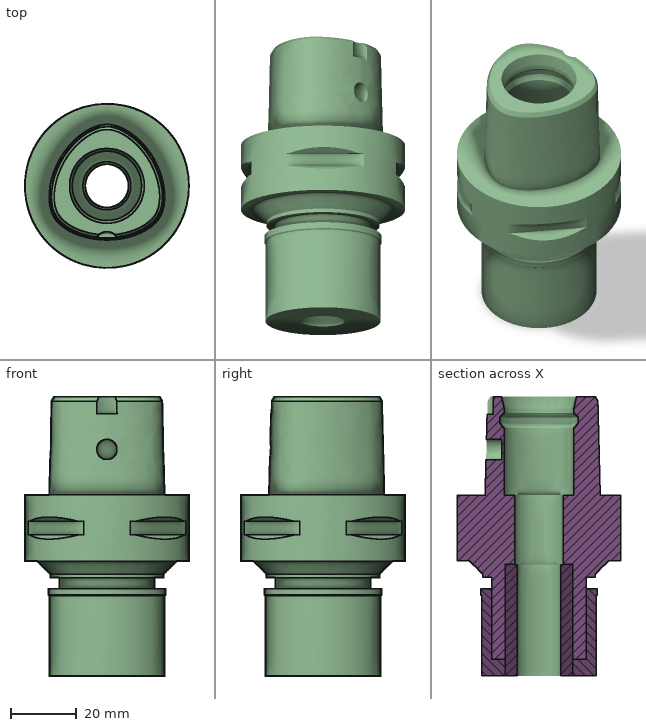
import cadquery as cq
import math

total_height = 85.0

flange_radius = 25.0
flange_bottom = 34.9
flange_top = 55.1
slot_floor_distance = 21.9
slot_floor_height = 4.1
slot_wall_depth = 0.8
slot_flare_angle = 30
slot_overrun = 1.7
slot_count = 4

shank_mean_radius = 17.6
shank_lobe_height = 1.1
shank_taper = 1 / 40
shank_curve_points = 48
rim_chamfer_height = 1.4
rim_chamfer_width = 0.85

notch_radius = 3.6
notch_axis_offset = 17.5
notch_depth = 5.3
side_hole_radius = 3.1
side_hole_z = 68.9
side_hole_floor = 11.5

bore_mouth_radius = 11.4
bore_radius = 10.5
bore_cone_depth = 3.65
groove_start_depth = 5.0
groove_end_depth = 9.5
groove_radius = 11.8
drawbar_hole_radius = 7.3

under_cone_radius = 21.2
collar_radius = 17.25
collar_height = 1.1
neck_radius = 14.5

nut_height = 26.6
nut_radius = 17.5
nut_rim_radius = 17.85
nut_rim_height = 1.9
nut_lip_height = 5.1

collet_radius = 10.2
collet_hole_radius = 6.55
collet_height = 34.0


def revolve(points):
    """Solid of revolution about Z from (radius, height) points."""
    return cq.Workplane("XZ").polyline(points).close().revolve(360, (0, 0, 0), (0, 1, 0))


def shank_section(mean_radius, z):
    """Closed three-lobed curve with one lobe pointing to +Y."""
    points = []
    for i in range(shank_curve_points):
        angle = 2 * math.pi * i / shank_curve_points
        along = mean_radius * math.cos(angle) + shank_lobe_height * (
            2 * math.cos(2 * angle) - math.cos(4 * angle)
        )
        across = mean_radius * math.sin(angle) - shank_lobe_height * (
            2 * math.sin(2 * angle) + math.sin(4 * angle)
        )
        points.append(cq.Vector(-across, along, z))
    return cq.Wire.assembleEdges([cq.Edge.makeSpline(points, periodic=True)])


def make_shank():
    """Tapered polygon with a chamfered rim."""
    chamfer_z = total_height - rim_chamfer_height
    chamfer_mean_radius = shank_mean_radius - shank_taper * (chamfer_z - flange_top)
    foot = shank_section(shank_mean_radius, flange_top)
    shoulder = shank_section(chamfer_mean_radius, chamfer_z)
    rim = shank_section(chamfer_mean_radius - rim_chamfer_width, total_height)
    taper = cq.Workplane(cq.Solid.makeLoft([foot, shoulder], True))
    chamfer = cq.Workplane(cq.Solid.makeLoft([shoulder, rim], True))
    return taper.union(chamfer)


def make_gripper_slot(angle):
    """Straight slot across the flange with a square floor and a flared mouth, facing the given angle."""
    middle_z = (flange_bottom + flange_top) / 2
    floor_half = slot_floor_height / 2
    flare_start = slot_floor_distance + slot_wall_depth
    outer_x = flange_radius + slot_overrun
    outer_half = floor_half + (outer_x - flare_start) * math.tan(math.radians(slot_flare_angle))
    return (
        cq.Workplane("XZ")
        .polyline([
            (slot_floor_distance, middle_z - floor_half),
            (flare_start, middle_z - floor_half),
            (outer_x, middle_z - outer_half),
            (outer_x, middle_z + outer_half),
            (flare_start, middle_z + floor_half),
            (slot_floor_distance, middle_z + floor_half),
        ])
        .close()
        .extrude(flange_radius, both=True)
        .rotate((0, 0, 0), (0, 0, 1), angle)
    )


def make_clamping_bore():
    """Bore with a conical mouth and a groove with 45 degree sides, down to the flange face."""
    groove_depth = groove_radius - bore_radius
    return revolve([
        (0, total_height),
        (bore_mouth_radius, total_height),
        (bore_radius, total_height - bore_cone_depth),
        (bore_radius, total_height - groove_start_depth),
        (groove_radius, total_height - groove_start_depth - groove_depth),
        (groove_radius, total_height - groove_end_depth + groove_depth),
        (bore_radius, total_height - groove_end_depth),
        (bore_radius, flange_top),
        (0, flange_top),
    ])


def make_drive_notch():
    return (
        cq.Workplane("XY", origin=(0, -notch_axis_offset, total_height))
        .circle(notch_radius)
        .extrude(-notch_depth)
    )


def make_side_hole():
    return (
        cq.Workplane("XZ", origin=(0, -side_hole_floor, side_hole_z))
        .circle(side_hole_radius)
        .extrude(flange_radius - side_hole_floor)
    )


def make_collet_seat():
    """Pocket that takes the collet, with the narrower drawbar hole above it."""
    return revolve([
        (0, nut_lip_height),
        (collet_radius, nut_lip_height),
        (collet_radius, collet_height),
        (drawbar_hole_radius, collet_height),
        (drawbar_hole_radius, flange_top),
        (0, flange_top),
    ])


def make_holder():
    """Shank, flange, collar and the neck that enters the nut."""
    collar_top = flange_bottom - (under_cone_radius - collar_radius)
    collar_bottom = collar_top - collar_height
    body = revolve([
        (0, nut_lip_height),
        (neck_radius, nut_lip_height),
        (neck_radius, collar_bottom),
        (collar_radius, collar_bottom),
        (collar_radius, collar_top),
        (under_cone_radius, flange_bottom),
        (flange_radius, flange_bottom),
        (flange_radius, flange_top),
        (0, flange_top),
    ])
    for i in range(slot_count):
        body = body.cut(make_gripper_slot((i + 0.5) * 360 / slot_count))
    body = body.union(make_shank())
    body = body.cut(make_clamping_bore())
    body = body.cut(make_drive_notch())
    body = body.cut(make_side_hole())
    return body.cut(make_collet_seat())


def make_nut():
    """Cylindrical nut with a raised rim, closed over the neck end except for the collet."""
    rim_step = nut_rim_radius - nut_radius
    rim_bottom = nut_height - nut_rim_height
    return revolve([
        (collet_radius, 0),
        (nut_radius, 0),
        (nut_radius, rim_bottom - rim_step),
        (nut_rim_radius, rim_bottom),
        (nut_rim_radius, nut_height),
        (neck_radius, nut_height),
        (neck_radius, nut_lip_height),
        (collet_radius, nut_lip_height),
    ])


def make_collet():
    return cq.Workplane("XY").circle(collet_radius).circle(collet_hole_radius).extrude(collet_height)


holder = make_holder()
nut = make_nut()
collet = make_collet()

result = cq.Compound.makeCompound([holder.val(), nut.val(), collet.val()])